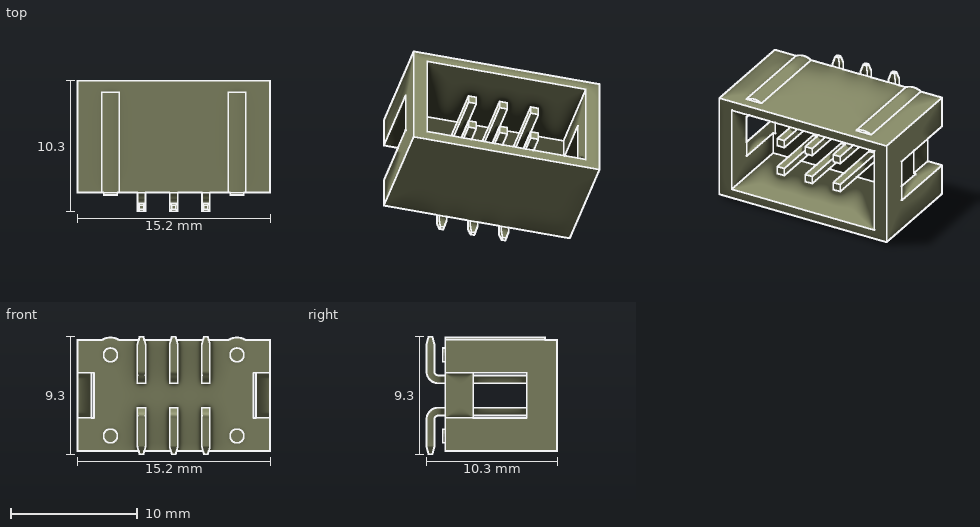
import cadquery as cq

length = 15.24
depth = 8.84
height = 8.78
end_wall = 1.13
long_wall = 0.8
base_thickness = 2.23
base_y = -depth / 2
mouth_y = depth / 2

window_height = 3.55
window_to_mouth = 2.41
notch_depth = 1.31

rib_pad_spacing = 10.0
rib_width = 1.37
rib_height = 0.2
rib_to_mouth = 0.93
pad_diameter = 1.1
pad_height = 0.2
pad_row_spacing = 6.4

pins_per_row = 3
pin_pitch = 2.55
pin_size = 0.64
pin_reach = 1.48
pin_span = 9.3
bend_inner_radius = 0.3
tip_length = 0.61
tip_size = pin_size / 2
pin_to_mouth = 0.93


def make_housing():
    """Box with a cavity open at +Y and an opening in each end."""
    cavity_depth = depth - base_thickness
    housing = cq.Workplane("XY").box(length, depth, height)
    cavity = cq.Workplane("XY").box(
        length - 2 * end_wall, cavity_depth, height - 2 * long_wall
    ).translate((0, mouth_y - cavity_depth / 2, 0))
    housing = housing.cut(cavity)

    opening_length = depth - window_to_mouth
    opening = cq.Workplane("XY").box(notch_depth, opening_length, window_height)
    for side in (-1, 1):
        opening_x = side * (length - notch_depth) / 2
        housing = housing.cut(opening.translate((opening_x, base_y + opening_length / 2, 0)))
    return housing


def make_rib(x):
    """Low rounded rib along Y on the top face, ending flush with the base."""
    top = height / 2
    return (
        cq.Workplane("XZ", origin=(0, mouth_y - rib_to_mouth, 0))
        .moveTo(x - rib_width / 2, top)
        .threePointArc((x, top + rib_height), (x + rib_width / 2, top))
        .close()
        .extrude(depth - rib_to_mouth)
    )


def make_pad(x, z):
    """Round standoff pad on the base face."""
    return (
        cq.Workplane("XZ", origin=(x, base_y, z))
        .circle(pad_diameter / 2)
        .extrude(pad_height)
    )


def make_upper_pin(x):
    """Pin of the upper row: straight along Y, then bent up to a tapered tip."""
    row_z = pin_pitch / 2
    low_z = row_z - pin_size / 2
    high_z = row_z + pin_size / 2
    outer_y = base_y - pin_reach
    inner_y = outer_y + pin_size
    tip_start_z = pin_span / 2 - tip_length
    outer_radius = bend_inner_radius + pin_size

    wire = (
        cq.Workplane("YZ", origin=(x - pin_size / 2, 0, 0))
        .moveTo(mouth_y - pin_to_mouth, low_z)
        .lineTo(outer_y + outer_radius, low_z)
        .radiusArc((outer_y, low_z + outer_radius), outer_radius)
        .lineTo(outer_y, tip_start_z)
        .lineTo(inner_y, tip_start_z)
        .lineTo(inner_y, high_z + bend_inner_radius)
        .radiusArc((inner_y + bend_inner_radius, high_z), -bend_inner_radius)
        .lineTo(mouth_y - pin_to_mouth, high_z)
        .close()
        .extrude(pin_size)
    )
    tip = (
        cq.Workplane("XY", origin=(x, outer_y + pin_size / 2, tip_start_z))
        .rect(pin_size, pin_size)
        .workplane(offset=tip_length)
        .rect(tip_size, tip_size)
        .loft(ruled=True)
    )
    return wire.union(tip)


result = make_housing()

for side in (-1, 1):
    feature_x = side * rib_pad_spacing / 2
    result = result.union(make_rib(feature_x))
    for row in (-1, 1):
        result = result.union(make_pad(feature_x, row * pad_row_spacing / 2))

for index in range(pins_per_row):
    pin_x = (index - (pins_per_row - 1) / 2) * pin_pitch
    upper_pin = make_upper_pin(pin_x)
    result = result.union(upper_pin).union(upper_pin.mirror("XY"))